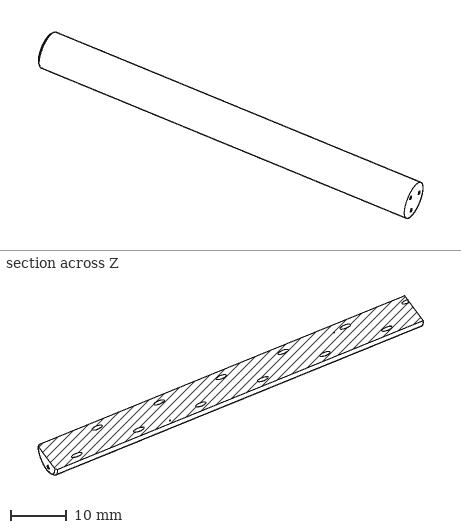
import cadquery as cq
import math

length = 75.0
diameter = 7.0
chamfer = 0.4

bore_count = 3
bore_diameter = 0.7
bore_circle_radius = 2.0
first_bore_angle = 11.5
helix_angle = 30.0
helix_lead = math.pi * diameter / math.tan(math.radians(helix_angle))


def make_rod():
    """Solid rod running from X = 0, chamfered at that end."""
    rod = cq.Workplane("YZ").circle(diameter / 2).extrude(length)
    return rod.faces("<X").chamfer(chamfer)


def make_bores():
    """Equally spaced bores twisted right-handed around the rod axis over its full length."""
    total_twist = 360 * length / helix_lead
    return (
        cq.Workplane("YZ")
        .polarArray(bore_circle_radius, first_bore_angle, 360, bore_count)
        .circle(bore_diameter / 2)
        .twistExtrude(length, total_twist)
    )


rod = make_rod().cut(make_bores())
result = rod.translate((-length / 2, 0, 0))